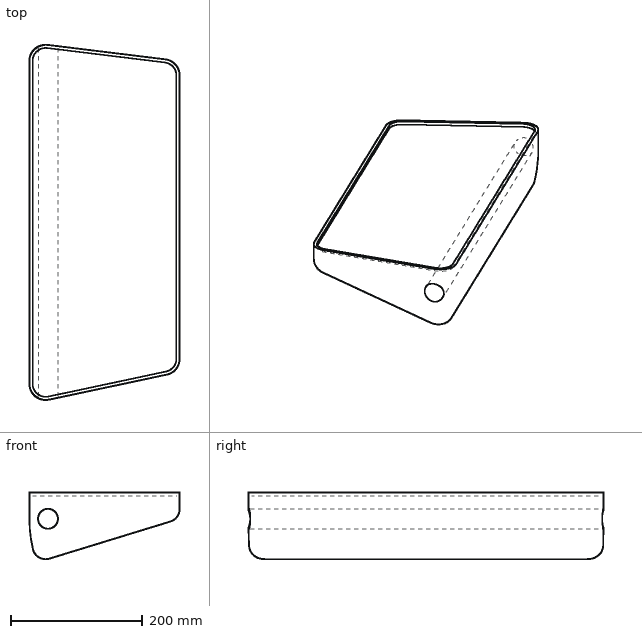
import cadquery as cq
import math

width = 228.96
long_side = 550.0
front_taper = 12.0
back_taper = 7.0
corner_radius = 25.0

wall_depth = 40.0
bottom_slope = 17.05
back_curve_radius = 200.0
bottom_radius = 20.0

rim_width = 5.0
recess_depth = 5.0

hole_diameter = 30.0
hole_x = 28.5
hole_z = -wall_depth

front_rise = width * math.tan(math.radians(front_taper))
back_drop = width * math.tan(math.radians(back_taper))


def tapered_prism(depth):
    """Trapezoidal prism hanging down from the top plane."""
    corners = [
        (0, 0),
        (width, front_rise),
        (width, long_side - back_drop),
        (0, long_side),
    ]
    return cq.Workplane("XY").polyline(corners).close().extrude(-depth)


def curved_wall_point(angle):
    """Point on the -X wall curve, at an angle below its upright start."""
    x = back_curve_radius * (1 - math.cos(angle))
    z = -wall_depth - back_curve_radius * math.sin(angle)
    return (x, z)


def curved_wall_end_angle():
    """Angle at which the -X wall curve meets the sloping underside."""
    slope = math.radians(bottom_slope)
    offset = (width - back_curve_radius) * math.sin(slope)
    return math.asin(offset / back_curve_radius) + slope


def wedge():
    """Side profile extruded along the whole length."""
    end_angle = curved_wall_end_angle()
    profile = (
        cq.Workplane("XZ")
        .moveTo(0, 0)
        .lineTo(width, 0)
        .lineTo(width, -wall_depth)
        .lineTo(*curved_wall_point(end_angle))
        .threePointArc(curved_wall_point(end_angle / 2), (0, -wall_depth))
        .close()
    )
    return profile.extrude(-long_side)


def body():
    """Tapered wedge with rounded upright corners and a rounded underside."""
    wedge_depth = -curved_wall_point(curved_wall_end_angle())[1]
    block = wedge().intersect(tapered_prism(wedge_depth))
    block = block.edges("|Z or %ELLIPSE").fillet(corner_radius)
    return block.edges("<Z").fillet(bottom_radius)


def recess(block):
    """Shallow pocket following the top outline, a rim width inside it."""
    outline = block.faces(">Z").wires().val()
    pocket = outline.offset2D(-rim_width)[0]
    return cq.Workplane("XY").add(pocket).toPending().extrude(-recess_depth)


def lengthwise_hole():
    """Round cutter along the full length."""
    return (
        cq.Workplane("XZ")
        .center(hole_x, hole_z)
        .circle(hole_diameter / 2)
        .extrude(-long_side)
    )


block = body()
result = block.cut(recess(block)).cut(lengthwise_hole())